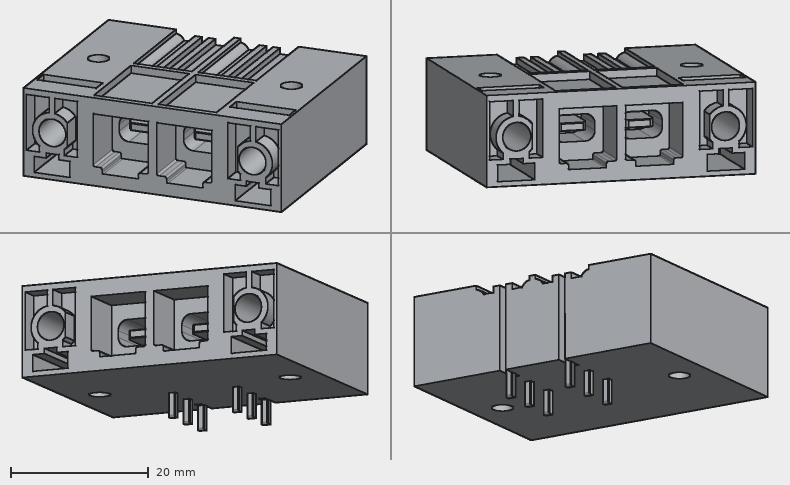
import cadquery as cq


WIDTH = 40.65
DEPTH = 32.0
TOTAL_HEIGHT = 17.2
PIN_LENGTH = 3.6
HEIGHT = TOTAL_HEIGHT - PIN_LENGTH
POLE_X = 5.1

SOCKET_X = 5.0
SOCKET_WIDTH = 8.65
SOCKET_BOTTOM = 2.95
SOCKET_TOP = 11.1
SOCKET_DEPTH = 7.2
SOCKET_ROUND = 0.33
KEYWAY_WIDTH = 5.75
KEYWAY_BOTTOM = 2.05
KEYWAY_ROUND = 0.15
CAVITY_WIDTH = 6.35
CAVITY_HEIGHT = 4.02
CAVITY_ROUND = 1.5
CAVITY_DEPTH = 7.15

TOP_FIELD_WIDTH = 9.15
RECESS_FRONT = 1.05
RECESS_BACK = 15.0
RECESS_DEPTH = 1.18
CHANNEL_FRONT = 16.05
CHANNEL_DEPTH = 1.55
RIB_DROP = 0.6
RIB_HALF_SPAN = 1.63
CHANNEL_HALF_SPAN = 3.3
SHOULDER_RADIUS = 1.75
SLOT_WIDTH = 1.0
SLOT_THROUGH_LENGTH = 3.75

FLANGE_X = WIDTH / 2 - 4.47
RELIEF_WIDTH = 8.0
RELIEF_BOTTOM = 4.02
RELIEF_TOP = 12.65
RELIEF_DEPTH = 3.1
BOSS_Z = 7.27
BOSS_RADIUS = 3.05
BOSS_FLAT = 2.45
BORE_X = WIDTH / 2 - 4.55
BORE_RADIUS = 2.1
WEB_WIDTH = 0.9
NECK_WIDTH = 4.0
LOWER_WIDTH = 5.6
LOWER_BOTTOM = 0.77
LOWER_TOP = 3.25
LOWER_TAB_WIDTH = 2.0

HOLE_X = WIDTH / 2 - 5.12
HOLE_Y = DEPTH / 2
HOLE_RADIUS = 1.6
COLUMN_RADIUS = 2.35
CHAMBER_SIZE = 6.25

LATCH_OUTER_X = WIDTH / 2 - 0.45
LATCH_WIDTH = 9.35
LATCH_FRONT = 4.02
LATCH_BACK = 6.5
LATCH_DEPTH = 2.0

BLADE_WIDTH = 4.5
BLADE_BOTTOM = 6.18
BLADE_TOP = 7.4
BLADE_TIP_Y = 8.13
BLADE_SIDE_BEVEL = 0.6
BLADE_BEVEL_LENGTH = 0.9
BLADE_FACE_BEVEL = 0.12
BLADE_BACK_Y = DEPTH - SLOT_THROUGH_LENGTH
TAIL_BACK_Y = DEPTH - 1.65
PIN_SIZE = 1.1
PIN_BEVEL = 0.15
PIN_TIP_ROUND = 0.33
PIN_PITCH = 5.1
PIN_COUNT = 3
LAST_PIN_Y = TAIL_BACK_Y - PIN_SIZE / 2


def box(x0, x1, y0, y1, z0, z1):
    """Axis-aligned block between two corners."""
    return cq.Workplane("XY").box(x1 - x0, y1 - y0, z1 - z0, centered=False).translate((x0, y0, z0))


def centred_box(x, width, y0, y1, z0, z1):
    """Block centred on x."""
    return box(x - width / 2, x + width / 2, y0, y1, z0, z1)


def round_bar(x, z, radius, y0, y1):
    """Cylinder along Y."""
    return cq.Workplane("XZ", origin=(x, y0, z)).circle(radius).extrude(y0 - y1)


def column(x, y, radius, z0, z1):
    """Cylinder along Z."""
    return cq.Workplane("XY", origin=(x, y, z0)).circle(radius).extrude(z1 - z0)


def socket(side):
    """Keyed mating opening with the rounded blade cavity behind it."""
    x = side * SOCKET_X
    pole = side * POLE_X
    opening = centred_box(x, SOCKET_WIDTH, 0, SOCKET_DEPTH, SOCKET_BOTTOM, SOCKET_TOP)
    opening = opening.edges("|Y and <Z").fillet(SOCKET_ROUND)
    keyway = centred_box(pole, KEYWAY_WIDTH, 0, SOCKET_DEPTH, KEYWAY_BOTTOM, SOCKET_TOP)
    opening = opening.union(keyway.edges("|Y and <Z").fillet(KEYWAY_ROUND))
    ledge = SOCKET_ROUND / 2
    ledge_edges = cq.selectors.BoxSelector(
        (pole - KEYWAY_WIDTH / 2 - ledge, -0.4, SOCKET_BOTTOM - ledge),
        (pole + KEYWAY_WIDTH / 2 + ledge, SOCKET_DEPTH + 0.4, SOCKET_BOTTOM + ledge),
    )
    opening = opening.edges("|Y").edges(ledge_edges).fillet(SOCKET_ROUND)
    blade_z = (BLADE_BOTTOM + BLADE_TOP) / 2
    cavity = centred_box(
        pole, CAVITY_WIDTH, SOCKET_DEPTH, SOCKET_DEPTH + CAVITY_DEPTH,
        blade_z - CAVITY_HEIGHT / 2, blade_z + CAVITY_HEIGHT / 2,
    )
    return opening.union(cavity.edges("|Y").fillet(CAVITY_ROUND))


def top_recess(side):
    """Shallow rectangular recess above a socket."""
    return centred_box(side * POLE_X, TOP_FIELD_WIDTH, RECESS_FRONT, RECESS_BACK, HEIGHT - RECESS_DEPTH, HEIGHT)


def comb_channel(side):
    """Open-backed channel that leaves two ribs and two rounded shoulders, with a slot between the ribs."""
    pole = side * POLE_X
    half_width = TOP_FIELD_WIDTH / 2
    rib_top = HEIGHT - RIB_DROP
    floor = HEIGHT - CHANNEL_DEPTH
    channel = (
        cq.Workplane("XZ", origin=(pole, CHANNEL_FRONT, 0))
        .moveTo(-half_width, HEIGHT)
        .lineTo(-half_width, rib_top)
        .radiusArc((-CHANNEL_HALF_SPAN, floor), SHOULDER_RADIUS)
        .lineTo(-RIB_HALF_SPAN, floor)
        .lineTo(-RIB_HALF_SPAN, rib_top)
        .lineTo(RIB_HALF_SPAN, rib_top)
        .lineTo(RIB_HALF_SPAN, floor)
        .lineTo(CHANNEL_HALF_SPAN, floor)
        .radiusArc((half_width, rib_top), SHOULDER_RADIUS)
        .lineTo(half_width, HEIGHT)
        .close()
        .extrude(CHANNEL_FRONT - DEPTH)
    )
    slot = centred_box(pole, SLOT_WIDTH, CHANNEL_FRONT, DEPTH, floor, HEIGHT)
    through = centred_box(pole, SLOT_WIDTH, BLADE_BACK_Y, DEPTH, 0, HEIGHT)
    return channel.union(slot).union(through)


def boss_relief():
    """Pocket around the right-hand screw boss, leaving the boss, its web above and its neck below."""
    x = FLANGE_X
    relief = centred_box(x, RELIEF_WIDTH, 0, RELIEF_DEPTH, RELIEF_BOTTOM, RELIEF_TOP)
    flat_x = x - BOSS_FLAT
    boss = round_bar(x, BOSS_Z, BOSS_RADIUS, 0, RELIEF_DEPTH)
    boss = boss.intersect(box(flat_x, x + BOSS_RADIUS, 0, RELIEF_DEPTH, 0, HEIGHT))
    web = centred_box(x, WEB_WIDTH, 0, RELIEF_DEPTH, BOSS_Z, RELIEF_TOP)
    neck = centred_box(x, NECK_WIDTH, 0, RELIEF_DEPTH, RELIEF_BOTTOM, BOSS_Z)
    return relief.cut(boss).cut(web).cut(neck)


def flange_chamber():
    """Inner chamber around the right-hand fixing column, with the bore and lower pocket leading into it."""
    half = CHAMBER_SIZE / 2
    chamber_front = HOLE_Y - half
    chamber = centred_box(
        HOLE_X, CHAMBER_SIZE, chamber_front, HOLE_Y + half, LOWER_BOTTOM, RELIEF_TOP
    )
    bore = round_bar(BORE_X, BOSS_Z, BORE_RADIUS, 0, chamber_front)
    lower = centred_box(FLANGE_X, LOWER_WIDTH, 0, chamber_front, LOWER_BOTTOM, LOWER_TOP)
    tab = centred_box(BORE_X, LOWER_TAB_WIDTH, 0, chamber_front, LOWER_TOP, RELIEF_BOTTOM)
    tube = column(HOLE_X, HOLE_Y, COLUMN_RADIUS, 0, HEIGHT)
    return chamber.cut(tube).union(bore).union(lower).union(tab)


def flange_cuts():
    """Everything removed from the right-hand flange."""
    hole = column(HOLE_X, HOLE_Y, HOLE_RADIUS, 0, HEIGHT)
    latch = box(
        LATCH_OUTER_X - LATCH_WIDTH, LATCH_OUTER_X, LATCH_FRONT, LATCH_BACK, HEIGHT - LATCH_DEPTH, HEIGHT
    )
    return [boss_relief(), flange_chamber(), hole, latch]


def pin(x, y):
    """Solder pin with bevelled edges and a tip rounded front and back, rising into the blade."""
    half = PIN_SIZE / 2
    shaft = centred_box(x, PIN_SIZE, y - half, y + half, -PIN_LENGTH, BLADE_BOTTOM)
    round_tipped = shaft.faces("<Z").edges("|X").fillet(PIN_TIP_ROUND)
    return shaft.edges("|Z").chamfer(PIN_BEVEL).intersect(round_tipped)


def contact(side):
    """Blade with a bevelled tip, a tail at the back and a row of solder pins."""
    pole = side * POLE_X
    half = BLADE_WIDTH / 2
    outline = (
        cq.Workplane("XY", origin=(pole, 0, BLADE_BOTTOM))
        .moveTo(-half, BLADE_BACK_Y)
        .lineTo(-half, BLADE_TIP_Y + BLADE_BEVEL_LENGTH)
        .lineTo(-half + BLADE_SIDE_BEVEL, BLADE_TIP_Y)
        .lineTo(half - BLADE_SIDE_BEVEL, BLADE_TIP_Y)
        .lineTo(half, BLADE_TIP_Y + BLADE_BEVEL_LENGTH)
        .lineTo(half, BLADE_BACK_Y)
        .close()
    )
    blade = outline.extrude(BLADE_TOP - BLADE_BOTTOM)
    blade = blade.faces("<Y").edges("|X").chamfer(BLADE_FACE_BEVEL)
    body = blade.union(centred_box(pole, SLOT_WIDTH, BLADE_BACK_Y, TAIL_BACK_Y, 0, BLADE_TOP))
    for index in range(PIN_COUNT):
        body = body.union(pin(pole, LAST_PIN_Y - index * PIN_PITCH))
    return body


def build_housing(fitted_contacts):
    """Housing block with every opening and a matching passage for each contact."""
    body = centred_box(0, WIDTH, 0, DEPTH, 0, HEIGHT)
    for side in (-1, 1):
        body = body.cut(socket(side)).cut(top_recess(side)).cut(comb_channel(side))
    for cut in flange_cuts():
        body = body.cut(cut).cut(cut.mirror("YZ"))
    for fitted in fitted_contacts:
        body = body.cut(fitted)
    return body


contacts = [contact(side) for side in (-1, 1)]
housing = build_housing(contacts)

solids = housing.solids().vals()
for item in contacts:
    solids += item.solids().vals()

result = cq.Compound.makeCompound(solids)